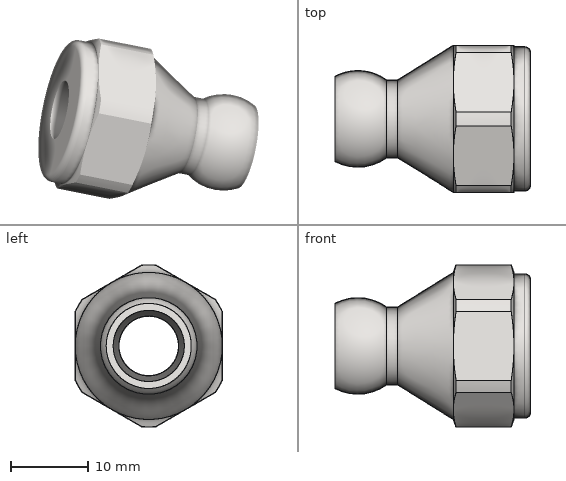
import cadquery as cq
import math

total_length = 25.4
neck_end = 8.15
hex_start = 15.37
hex_end = 23.25

ball_center = 2.97
ball_radius = 6.27
neck_radius = 5.05
mouth_radius = math.sqrt(ball_radius**2 - ball_center**2)
neck_start = ball_center + math.sqrt(ball_radius**2 - neck_radius**2)

across_flats = 19.1
flat_radius = across_flats / 2
corner_radius = 10.55
bevel_length = 0.35

collar_radius = 9.37
collar_fillet = 0.8

entry_bore_radius = 4.62
entry_bore_depth = 4.55
through_bore_radius = 3.85
taper_angle = 30
taper_length = (entry_bore_radius - through_bore_radius) / math.tan(math.radians(taper_angle))
taper_end = entry_bore_depth + taper_length


def make_ball_and_cone():
    """Truncated ball, cylindrical neck and cone flaring out to the hexagon."""
    profile = (
        cq.Workplane("XY")
        .moveTo(0, 0)
        .lineTo(0, mouth_radius)
        .threePointArc((ball_center, ball_radius), (neck_start, neck_radius))
        .lineTo(neck_end, neck_radius)
        .lineTo(hex_start, flat_radius)
        .lineTo(hex_start, 0)
        .close()
    )
    return profile.revolve(360, (0, 0, 0), (1, 0, 0))


def make_hexagon():
    """Hexagonal prism, two flats facing +/-Y, trimmed by a bevelled cylinder."""
    across_corners = across_flats / math.cos(math.pi / 6)
    prism = (
        cq.Workplane("YZ", origin=(hex_start, 0, 0))
        .transformed(rotate=(0, 0, 90))
        .polygon(6, across_corners)
        .extrude(hex_end - hex_start)
    )
    envelope = (
        cq.Workplane("XY")
        .moveTo(hex_start, 0)
        .lineTo(hex_start, flat_radius)
        .lineTo(hex_start + bevel_length, corner_radius)
        .lineTo(hex_end - bevel_length, corner_radius)
        .lineTo(hex_end, flat_radius)
        .lineTo(hex_end, 0)
        .close()
        .revolve(360, (0, 0, 0), (1, 0, 0))
    )
    return prism.intersect(envelope)


def make_collar():
    """Round collar with a rounded outer end edge."""
    return (
        cq.Workplane("YZ", origin=(hex_end, 0, 0))
        .circle(collar_radius)
        .extrude(total_length - hex_end)
        .faces(">X")
        .edges()
        .fillet(collar_fillet)
    )


def make_bore():
    """Wide entry bore tapering to a bore that runs through the part."""
    profile = (
        cq.Workplane("XY")
        .moveTo(0, 0)
        .lineTo(0, entry_bore_radius)
        .lineTo(entry_bore_depth, entry_bore_radius)
        .lineTo(taper_end, through_bore_radius)
        .lineTo(total_length, through_bore_radius)
        .lineTo(total_length, 0)
        .close()
    )
    return profile.revolve(360, (0, 0, 0), (1, 0, 0))


body = make_ball_and_cone().union(make_hexagon()).union(make_collar())
result = body.cut(make_bore())